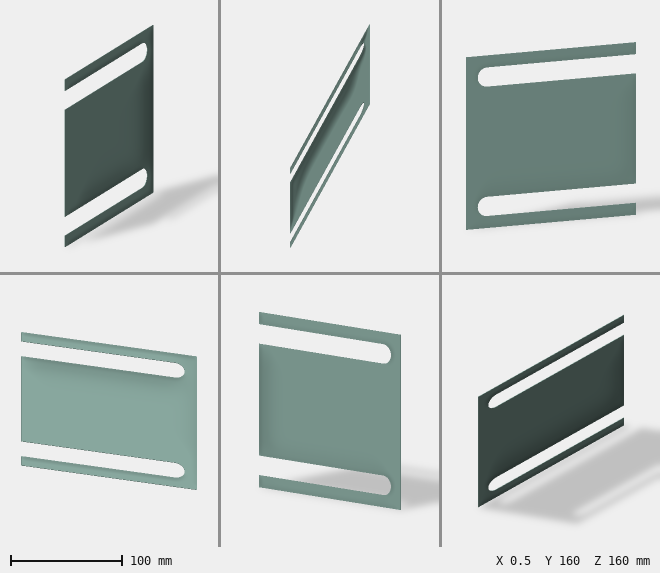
import cadquery as cq

side = 160.0
thickness = 0.5

slot_width = 18.0
slot_inset = 20.0

slot_radius = slot_width / 2
half_side = side / 2
round_centre = half_side - slot_inset


def open_slot(centre_z):
    """Cutter running from the round end near +Y out through the -Y edge."""
    return (
        cq.Workplane("YZ")
        .moveTo(-half_side, centre_z - slot_radius)
        .lineTo(round_centre, centre_z - slot_radius)
        .threePointArc(
            (round_centre + slot_radius, centre_z),
            (round_centre, centre_z + slot_radius),
        )
        .lineTo(-half_side, centre_z + slot_radius)
        .close()
        .extrude(thickness / 2, both=True)
    )


result = cq.Workplane("YZ").rect(side, side).extrude(thickness / 2, both=True)
for slot_z in (-round_centre, round_centre):
    result = result.cut(open_slot(slot_z))